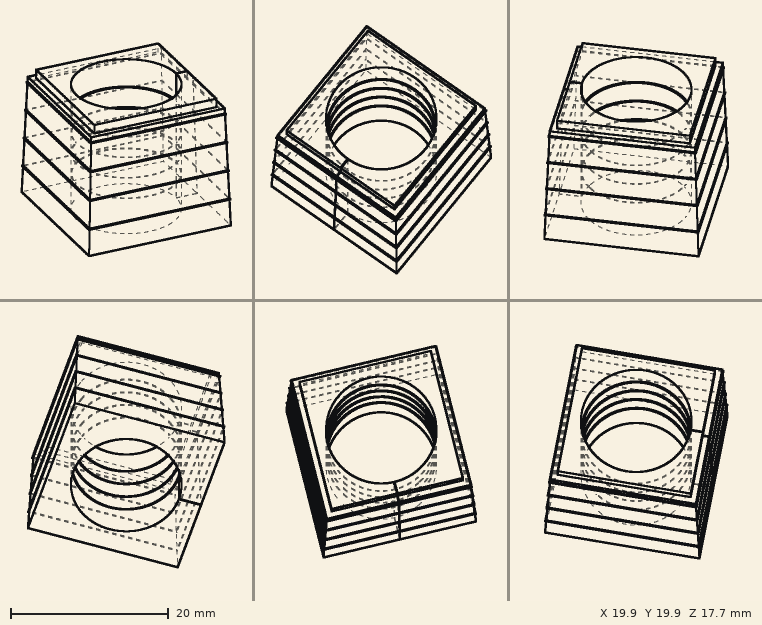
import cadquery as cq
import math

base_width = 19.9
body_height = 16.5
draft_angle = 2.0

total_height = 17.7
pad_width = 17.13

lip_count = 4
lip_first_height = 3.7
lip_pitch = 4.0
lip_rise = 0.1
lip_overhang = 0.1

bore_diameter = 14.0
ring_count = 4
ring_top_depth = 3.98
ring_pitch = 2.9
ring_rise = 0.1
ring_overhang = 0.1

slit_width = 0.08


def body_width_at(height):
    """Outer width of the tapered body at a given height."""
    return base_width - 2 * height * math.tan(math.radians(draft_angle))


def make_body():
    body = cq.Workplane("XY").rect(base_width, base_width).extrude(body_height, taper=draft_angle)
    pad = cq.Workplane("XY").rect(pad_width, pad_width).extrude(total_height)
    return body.union(pad)


def make_lip(height):
    """Square collar, widest at its underside and flush with the body at its top."""
    lower_width = body_width_at(height) + 2 * lip_overhang
    upper_width = body_width_at(height + lip_rise)
    return (
        cq.Workplane("XY", origin=(0, 0, height))
        .rect(lower_width, lower_width)
        .workplane(offset=lip_rise)
        .rect(upper_width, upper_width)
        .loft(ruled=True)
    )


def make_bore():
    """Bore volume, narrowed by a triangular notch at every ring."""
    radius = bore_diameter / 2
    profile = cq.Workplane("XZ").lineTo(radius, 0)
    for index in reversed(range(ring_count)):
        height = total_height - ring_top_depth - index * ring_pitch
        profile = (
            profile.lineTo(radius, height)
            .lineTo(radius - ring_overhang, height)
            .lineTo(radius, height + ring_rise)
        )
    profile = profile.lineTo(radius, total_height).lineTo(0, total_height).close()
    return profile.revolve(360, (0, 0, 0), (0, 1, 0))


def make_slit():
    return cq.Workplane("XY").box(slit_width, base_width, total_height, centered=(True, False, False))


result = make_body()
for lip_index in range(lip_count):
    result = result.union(make_lip(lip_first_height + lip_index * lip_pitch))
result = result.cut(make_bore()).cut(make_slit())